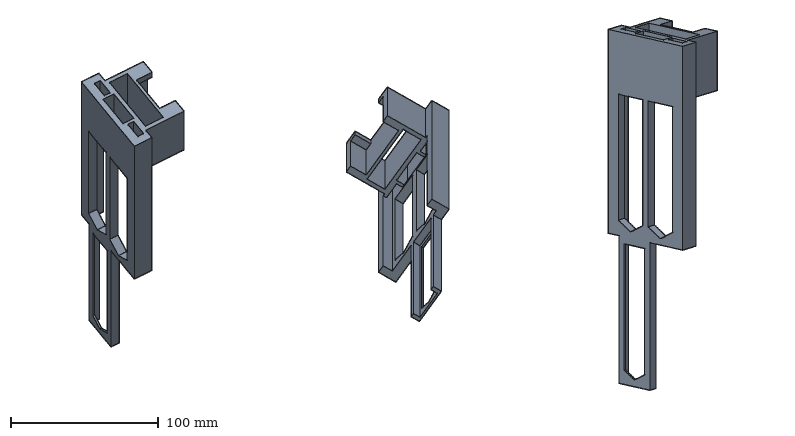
import cadquery as cq
import math

total_height = 247.1
total_depth = 45.0

plate_width = 66.7
plate_depth = 14.0
plate_bottom = 103.8
front_wall = 6.7
side_wall = 6.0

block_width = 51.5
block_bottom = 205.4
block_pocket_width = 45.2
block_pocket_front = 15.8
block_pocket_back = 30.2
rear_web = 2.2
arm_gap_width = 29.2
arm_wall = 5.5
arm_lip_height = 5.5

center_passage_width = 25.2
center_passage_front = 4.2
center_passage_back = 12.9
side_passage_width = 12.5
side_passage_back = 11.4

window_width = 21.7
window_divider = 5.0
window_top = 203.1
window_shoulder = 114.7

tongue_center_x = -10.0
tongue_width = 27.7
tongue_border = 5.0
tongue_window_width = 18.0
tongue_front_wall = 1.5
tongue_side_wall = 3.0

tip_slope = math.radians(30)


def box(center_x, width, front, back, bottom, top):
    """Block centred at center_x, spanning front..back in Y and bottom..top in Z."""
    size = (width, back - front, top - bottom)
    return cq.Workplane("XY").box(*size, centered=(True, False, False)).translate((center_x, front, bottom))


def tip_height(width):
    return width / 2 * math.tan(tip_slope)


def pointed_window(center_x, width, top, shoulder):
    """Cutter through the front wall with a flat top and a pointed lower end."""
    left = center_x - width / 2
    right = center_x + width / 2
    outline = [
        (left, top),
        (right, top),
        (right, shoulder),
        (center_x, shoulder - tip_height(width)),
        (left, shoulder),
    ]
    return cq.Workplane("XZ").polyline(outline).close().extrude(-front_wall)


body = box(0, plate_width, 0, plate_depth, plate_bottom, total_height)
body = body.union(box(0, block_width, plate_depth, total_depth, block_bottom, total_height))
body = body.union(box(tongue_center_x, tongue_width, 0, front_wall, 0, plate_bottom))

recess_width = plate_width - 2 * side_wall
body = body.cut(box(0, recess_width, front_wall, plate_depth, plate_bottom, block_bottom))

body = body.cut(
    box(0, block_pocket_width, block_pocket_front, block_pocket_back, block_bottom, total_height)
)
arm_gap_front = block_pocket_back + rear_web
body = body.cut(box(0, arm_gap_width, arm_gap_front, total_depth, block_bottom, total_height))

undercut_width = block_width - 2 * arm_wall
undercut_top = total_height - arm_lip_height
body = body.cut(box(0, undercut_width, arm_gap_front, total_depth, block_bottom, undercut_top))

body = body.cut(
    box(0, center_passage_width, center_passage_front, center_passage_back, block_bottom, total_height)
)
side_passage_x = (recess_width - side_passage_width) / 2
for side in (-1, 1):
    body = body.cut(
        box(side * side_passage_x, side_passage_width, front_wall, side_passage_back,
            block_bottom, total_height)
    )

window_x = (window_width + window_divider) / 2
for side in (-1, 1):
    body = body.cut(pointed_window(side * window_x, window_width, window_top, window_shoulder))

tongue_recess_width = tongue_width - 2 * tongue_side_wall
body = body.cut(
    box(tongue_center_x, tongue_recess_width, tongue_front_wall, front_wall, 0, plate_bottom)
)

tongue_shoulder = tongue_border + tip_height(tongue_window_width)
body = body.cut(
    pointed_window(tongue_center_x, tongue_window_width, plate_bottom - tongue_border, tongue_shoulder)
)

result = body